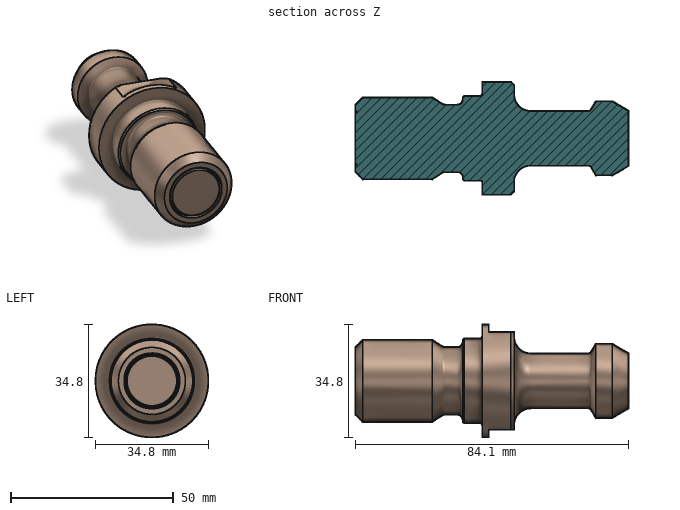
import cadquery as cq
import math

total_length = 84.1
thread_end = 23.7
neck_end = 33.0
flange_start = 39.0
flange_end = 48.9
flat_start = 41.1
head_start = 74.0
tip_start = 79.0

thread_radius = 25.3 / 2
neck_radius = 20.85 / 2
collar_radius = 26.15 / 2
flange_radius = 34.8 / 2
shank_radius = 17.0 / 2
head_radius = 22.95 / 2
tip_radius = shank_radius

thread_chamfer = 2.35
runout_angle = math.radians(33)
runout_fillet = 1.7
neck_fillet = 1.6
collar_chamfer = 0.5
collar_fillet = 0.5
flange_chamfer = 1.0
shank_fillet = 5.0
head_angle = math.radians(60)
head_fillet = 0.8

flat_distance = 15.05

ring_outer_radius = 8.6
ring_inner_radius = 7.65
ring_depth = 0.5


def cone_fillet(cone_angle, fillet_radius):
    """Axial length and radial rise of a fillet joining a cylinder to a cone."""
    length = fillet_radius * math.sin(cone_angle)
    rise = fillet_radius * (1 - math.cos(cone_angle))
    return length, rise


def turned_body():
    runout_length, runout_rise = cone_fillet(runout_angle, runout_fillet)
    runout_radius = neck_radius + runout_rise
    runout_end = thread_end + (thread_radius - runout_radius) / math.tan(runout_angle)

    head_fillet_length, head_fillet_rise = cone_fillet(head_angle, head_fillet)
    head_cone_radius = shank_radius + head_fillet_rise
    head_cone_start = head_start - (head_radius - head_cone_radius) / math.tan(head_angle)

    profile = (
        cq.Workplane("XY")
        .lineTo(0, thread_radius - thread_chamfer)
        .lineTo(thread_chamfer, thread_radius)
        .lineTo(thread_end, thread_radius)
        .lineTo(runout_end, runout_radius)
        .tangentArcPoint((runout_end + runout_length, neck_radius), relative=False)
        .lineTo(neck_end - neck_fillet, neck_radius)
        .tangentArcPoint((neck_end, neck_radius + neck_fillet), relative=False)
        .lineTo(neck_end, collar_radius - collar_chamfer)
        .lineTo(neck_end + collar_chamfer, collar_radius)
        .lineTo(flange_start - collar_fillet, collar_radius)
        .tangentArcPoint((flange_start, collar_radius + collar_fillet), relative=False)
        .lineTo(flange_start, flange_radius)
        .lineTo(flange_end - flange_chamfer, flange_radius)
        .lineTo(flange_end, flange_radius - flange_chamfer)
        .lineTo(flange_end, shank_radius + shank_fillet)
        .tangentArcPoint((flange_end + shank_fillet, shank_radius), relative=False)
        .lineTo(head_cone_start - head_fillet_length, shank_radius)
        .tangentArcPoint((head_cone_start, head_cone_radius), relative=False)
        .lineTo(head_start, head_radius)
        .lineTo(tip_start, head_radius)
        .lineTo(total_length, tip_radius)
        .lineTo(total_length, 0)
        .close()
    )
    return profile.revolve(360, (0, 0, 0), (1, 0, 0))


def end_ring():
    ring_middle_radius = (ring_outer_radius + ring_inner_radius) / 2
    return (
        cq.Workplane("XY")
        .moveTo(0, ring_inner_radius)
        .lineTo(ring_depth, ring_middle_radius)
        .lineTo(0, ring_outer_radius)
        .close()
        .revolve(360, (0, 0, 0), (1, 0, 0))
    )


def flat_cutter(side):
    """Block that removes the flange beyond one flat; side is +1 or -1 along Z."""
    flat_length = flange_end - flat_start
    flat_depth = flange_radius - flat_distance
    return cq.Workplane("XY").box(flat_length, 2 * flange_radius, flat_depth).translate(
        (flat_start + flat_length / 2, 0, side * (flat_distance + flat_depth / 2))
    )


result = turned_body().cut(end_ring())
for side in (1, -1):
    result = result.cut(flat_cutter(side))